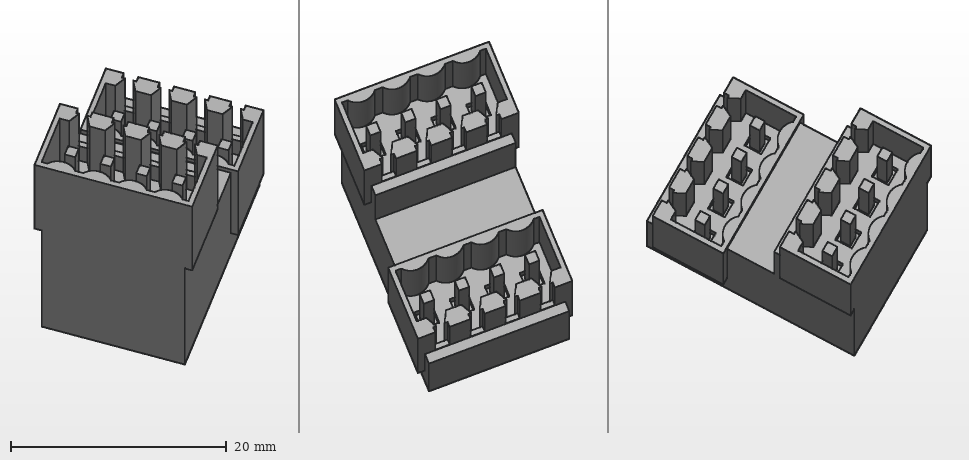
import cadquery as cq

pin_count = 4
pin_pitch = 3.5
row_spacing = 13.5
tier_drop = 11.5
total_height = 27.77

base_width = pin_count * pin_pitch
tail_length = 3.2
ledge_depth = 1.0
ledge_drop = 5.15
step_height = 15.75

shroud_width = 15.4
shroud_depth = 7.5
shroud_height = 9.8
thin_wall = 0.53
back_wall = 1.65
cavity_depth = 7.22

keyway_mouth = 1.97
keyway_neck = 0.8
slot_width = 1.42
slot_depth = 0.53
slot_height = 5.0

rib_width = 2.72
rib_rise = 0.65

pin_size = 1.03
pin_offset = 3.55
pin_tip_drop = 1.4
recess_size = 1.78
recess_depth = 1.0

rows = [(0.0, total_height), (row_spacing, total_height - tier_drop)]
pin_xs = [(i - (pin_count - 1) / 2) * pin_pitch for i in range(pin_count)]


def box(width, x, y_start, y_end, z_start, z_end):
    """Box centred on x, between the given Y and Z limits."""
    size_y = y_end - y_start
    size_z = z_end - z_start
    return cq.Workplane("XY").box(width, size_y, size_z, centered=(True, False, False)).translate(
        (x, y_start, z_start)
    )


def make_base():
    """Stepped block, with one constant side outline across its width."""
    tall_end = shroud_depth + ledge_depth
    low_start = row_spacing + shroud_depth / 2
    low_end = row_spacing + shroud_depth + ledge_depth
    tall_ledge = total_height - ledge_drop
    low_ledge = tall_ledge - tier_drop
    outline = [
        (0, tail_length),
        (low_end, tail_length),
        (low_end, low_ledge),
        (low_start, low_ledge),
        (low_start, step_height),
        (tall_end, step_height),
        (tall_end, tall_ledge),
        (0, tall_ledge),
    ]
    return cq.Workplane("YZ").polyline(outline).close().extrude(base_width / 2, both=True)


def make_shroud_block(front, rim):
    return box(shroud_width, 0, front, front + shroud_depth, rim - shroud_height, rim)


def make_rib(x, front, floor, rim):
    """Circular-segment rib standing on the inside of the front wall."""
    wall = front + thin_wall
    return (
        cq.Workplane("XY", origin=(x, wall, floor))
        .moveTo(-rib_width / 2, 0)
        .threePointArc((0, rib_rise), (rib_width / 2, 0))
        .close()
        .extrude(rim - floor)
    )


def make_keyway(x, front, floor, rim):
    """Tapered groove from the cavity, narrowing towards the slot in the outer face."""
    mouth_y = front + shroud_depth - back_wall
    neck_y = front + shroud_depth - slot_depth
    outline = [
        (x - keyway_mouth / 2, mouth_y),
        (x + keyway_mouth / 2, mouth_y),
        (x + keyway_neck / 2, neck_y),
        (x - keyway_neck / 2, neck_y),
    ]
    return cq.Workplane("XY", origin=(0, 0, floor)).polyline(outline).close().extrude(rim - floor)


def make_cavity(front, rim):
    """Everything removed from one shroud: the cavity with its ribs left standing, keyways and slots."""
    floor = rim - cavity_depth
    back = front + shroud_depth
    cavity_width = shroud_width - 2 * thin_wall
    cavity = box(cavity_width, 0, front + thin_wall, back - back_wall, floor, rim)
    for x in pin_xs:
        cavity = cavity.cut(make_rib(x, front, floor, rim))
    for x in pin_xs:
        pin_y = front + pin_offset
        half_recess = recess_size / 2
        cavity = cavity.union(make_keyway(x, front, floor, rim))
        cavity = cavity.union(box(slot_width, x, back - slot_depth, back, rim - slot_height, rim))
        cavity = cavity.union(
            box(recess_size, x, pin_y - half_recess, pin_y + half_recess, floor - recess_depth, floor)
        )
    return cavity


def make_pin(x, front, rim):
    """Straight square pin from the tail tip up into the shroud."""
    pin_y = front + pin_offset
    return box(pin_size, x, pin_y - pin_size / 2, pin_y + pin_size / 2, 0, rim - pin_tip_drop)


housing = make_base()
for front, rim in rows:
    housing = housing.union(make_shroud_block(front, rim))
for front, rim in rows:
    housing = housing.cut(make_cavity(front, rim))

pins = [make_pin(x, front, rim) for front, rim in rows for x in pin_xs]
for pin in pins:
    housing = housing.cut(pin)

result = cq.Compound.makeCompound([housing.val(), *[pin.val() for pin in pins]])